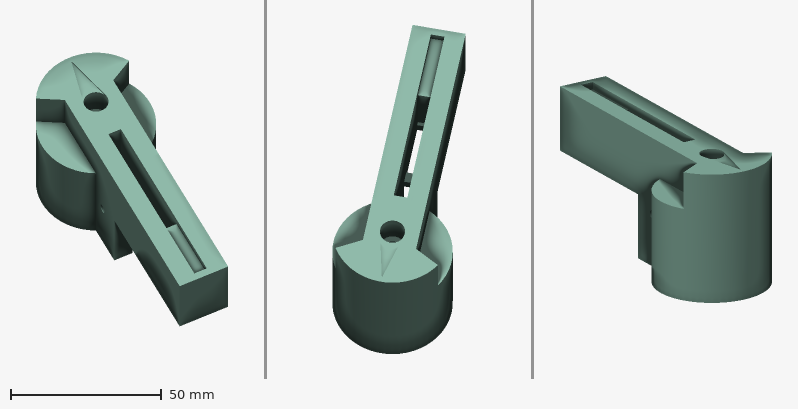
import cadquery as cq
import math

barrel_radius = 20.0
total_height = 45.5
arm_end_x = 80.0
arm_width = 18.0
arm_height = 22.8
leg_end_x = 31.5

shoulder_depth = 13.0
shoulder_angle = 120.0
cut_clearance = 1.0

hole_diameter = 4.4
counterbore_diameter = 8.3
counterbore_depth = 10.0
arrow_tip_x = -18.4
arrow_depth = 0.5

slot_start_x = 13.8
slot_end_x = 77.5
slot_width = 4.6
bridge_length = 3.7
bridge_height = 3.0
shelf_start_x = 55.1
shelf_drop = 2.6
ledge_length = 1.2

pin_diameter = 3.0
pin_x = 22.7
pin_z = 18.4

arm_bottom_z = total_height - arm_height
shoulder_z = total_height - shoulder_depth


def block(start_x, end_x, width, bottom_z, top_z):
    """Box centred on Y = 0, given by its X and Z limits."""
    box = cq.Workplane("XY").box(end_x - start_x, width, top_z - bottom_z, centered=(False, True, False))
    return box.translate((start_x, 0, bottom_z))


def shoulder_cut(side):
    """Space beside the arm, ended by a radial face; side is +1 or -1 along Y."""
    angle = math.radians(shoulder_angle)
    half_width = arm_width / 2
    outer_y = barrel_radius + cut_clearance
    points = [
        (half_width / math.tan(angle), side * half_width),
        (outer_y / math.tan(angle), side * outer_y),
        (outer_y, side * outer_y),
        (outer_y, side * half_width),
    ]
    return cq.Workplane("XY").workplane(offset=shoulder_z).polyline(points).close().extrude(shoulder_depth)


def body():
    """Barrel with the arm at its top and the leg beneath the arm."""
    barrel = cq.Workplane("XY").circle(barrel_radius).extrude(total_height)
    for side in (1, -1):
        barrel = barrel.cut(shoulder_cut(side))
    arm = block(0, arm_end_x, arm_width, arm_bottom_z, total_height)
    leg = block(0, leg_end_x, arm_width, 0, total_height)
    return barrel.union(arm).union(leg)


def arm_slot():
    """Through slot less the bridge, the end shelf and the ledge below the shelf."""
    ledge_start_x = shelf_start_x - ledge_length
    bridge_top_z = arm_bottom_z + bridge_height
    slot = block(slot_start_x, slot_end_x, slot_width, 0, total_height)
    bridge = block(leg_end_x, leg_end_x + bridge_length, slot_width, arm_bottom_z, bridge_top_z)
    ledge = block(ledge_start_x, slot_end_x, slot_width, arm_bottom_z, bridge_top_z)
    shelf = block(shelf_start_x, slot_end_x, slot_width, arm_bottom_z, total_height - shelf_drop)
    return slot.cut(bridge).cut(ledge).cut(shelf)


def axial_hole():
    """Through hole with a counterbore from the top."""
    hole = cq.Workplane("XY").circle(hole_diameter / 2).extrude(total_height)
    counterbore = (
        cq.Workplane("XY")
        .workplane(offset=total_height - counterbore_depth)
        .circle(counterbore_diameter / 2)
        .extrude(counterbore_depth)
    )
    return hole.union(counterbore)


def arrow_recess():
    """Shallow triangle whose long sides run tangent to the counterbore."""
    radius = counterbore_diameter / 2
    tangent_x = radius**2 / arrow_tip_x
    tangent_y = math.sqrt(radius**2 - tangent_x**2)
    points = [(arrow_tip_x, 0), (tangent_x, tangent_y), (tangent_x, -tangent_y)]
    plane = cq.Workplane("XY").workplane(offset=total_height - arrow_depth)
    return plane.polyline(points).close().extrude(arrow_depth)


def pin_hole():
    """Hole along Y through the full width of the leg."""
    plane = cq.Workplane("XZ").center(pin_x, pin_z)
    return plane.circle(pin_diameter / 2).extrude(arm_width / 2, both=True)


result = body().cut(arm_slot()).cut(axial_hole()).cut(arrow_recess()).cut(pin_hole())